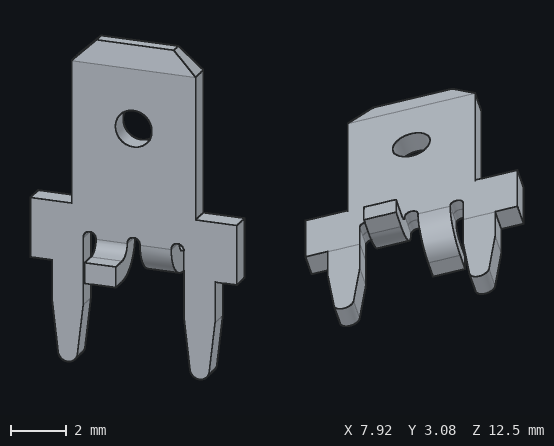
import cadquery as cq

height = 12.45
thickness = 0.8
half_thickness = thickness / 2

blade_width = 4.75
lead_in_height = 0.86
lead_in_width = 2.96
lead_in_thickness = 0.47
hole_diameter = 1.4
hole_z = 9.29

shoulder_width = 7.92
shoulder_bottom = 3.82
shoulder_top = 6.11

pin_width = 1.2
pin_x = 2.53
taper_top = 2.28
tip_width = 0.73
tip_height = 0.3

slot_width = 0.49
slot_radius = slot_width / 2
bend_z = 4.85
bend_radius = 0.5
outer_bend_radius = bend_radius + thickness
tab_span_y = 3.08
pin_inner_x = pin_x - pin_width / 2
tab_width = pin_inner_x - 1.5 * slot_width
tab_x = (slot_width + tab_width) / 2
slot_x = tab_x + (tab_width + slot_width) / 2


def make_plate(width, bottom, top):
    """Centred plate of sheet thickness between two heights."""
    plate = cq.Workplane("XY").workplane(offset=bottom)
    return plate.rect(width, thickness).extrude(top - bottom)


def make_blade():
    """Blade above the bend line, tapered on all four sides at the top."""
    lead_in_bottom = height - lead_in_height
    blade = make_plate(blade_width, bend_z, lead_in_bottom)
    lead_in = (
        cq.Workplane("XY").workplane(offset=lead_in_bottom)
        .rect(blade_width, thickness)
        .workplane(offset=lead_in_height)
        .rect(lead_in_width, lead_in_thickness)
        .loft(ruled=True)
    )
    hole = (
        cq.Workplane("XZ").center(0, hole_z)
        .circle(hole_diameter / 2)
        .extrude(half_thickness, both=True)
    )
    return blade.union(lead_in).cut(hole)


def make_shoulders():
    """Wide band, open below the bend line between the pins."""
    band = make_plate(shoulder_width, shoulder_bottom, shoulder_top)
    opening = make_plate(2 * pin_inner_x, shoulder_bottom, bend_z)
    return band.cut(opening)


def make_pin(x):
    """Straight pin with a tapered end and an arched tip."""
    return (
        cq.Workplane("XZ").center(x, 0)
        .moveTo(-pin_width / 2, shoulder_bottom)
        .lineTo(-pin_width / 2, taper_top)
        .lineTo(-tip_width / 2, tip_height)
        .threePointArc((0, 0), (tip_width / 2, tip_height))
        .lineTo(pin_width / 2, taper_top)
        .lineTo(pin_width / 2, shoulder_bottom)
        .close()
        .extrude(half_thickness, both=True)
    )


def make_slot_end(x):
    """Cutter for the round upper end of a relief slot."""
    return (
        cq.Workplane("XZ").center(x, bend_z)
        .circle(slot_radius)
        .extrude(half_thickness, both=True)
    )


def make_tab(side):
    """Tab bent through a right angle toward +Y (side = 1) or -Y (side = -1)."""
    bend_center_y = half_thickness + bend_radius
    tab_end_y = tab_span_y / 2
    tab_top = bend_z - bend_radius
    tab_bottom = bend_z - outer_bend_radius
    return (
        cq.Workplane("YZ").workplane(offset=side * tab_x)
        .moveTo(side * half_thickness, bend_z)
        .radiusArc((side * bend_center_y, tab_top), -side * bend_radius)
        .lineTo(side * tab_end_y, tab_top)
        .lineTo(side * tab_end_y, tab_bottom)
        .lineTo(side * bend_center_y, tab_bottom)
        .radiusArc((-side * half_thickness, bend_z), side * outer_bend_radius)
        .close()
        .extrude(tab_width / 2, both=True)
    )


result = make_blade().union(make_shoulders())
for x in (-slot_x, 0, slot_x):
    result = result.cut(make_slot_end(x))
for side in (-1, 1):
    result = result.union(make_pin(side * pin_x))
    result = result.union(make_tab(side))
result = result.clean()